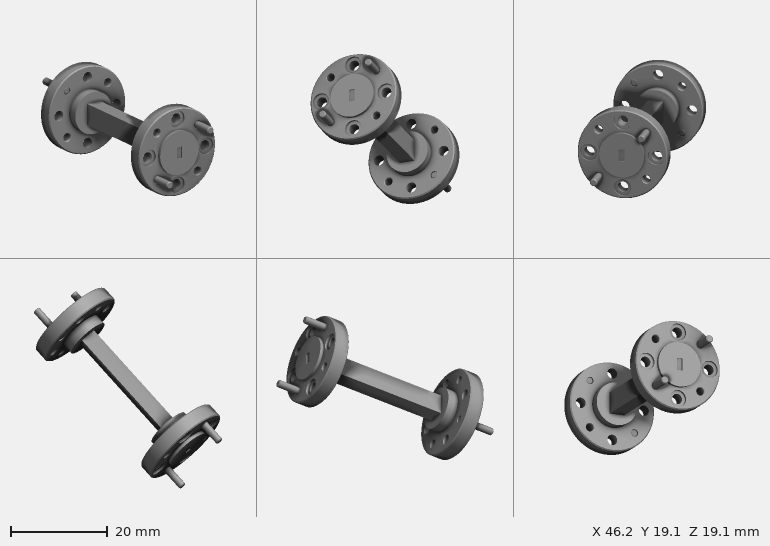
import cadquery as cq
import math

overall_length = 46.25
face_to_face = 38.05

flange_diameter = 19.05
flange_thickness = 3.3
flange_chamfer = 0.25
boss_diameter = 9.52
boss_height = 0.75
hub_diameter = 9.1
hub_length = 2.3

tube_width = 3.3
tube_height = 4.58
port_width = 1.25
port_height = 2.55
port_depth = 0.3

hole_circle_diameter = 14.3
screw_hole_diameter = 2.2
counterbore_diameter = 3.6
counterbore_depth = 0.5
dowel_hole_diameter = 1.65
dowel_hole_chamfer = 0.15

pin_diameter = 1.55
pin_chamfer = 0.2
pin_recess = 0.2

mating_face_x = face_to_face / 2
flange_front_x = mating_face_x - boss_height
flange_back_x = flange_front_x - flange_thickness
hub_back_x = flange_back_x - hub_length
pin_tip_x = overall_length / 2
pin_inner_x = flange_back_x + pin_recess

hole_circle_radius = hole_circle_diameter / 2
screw_angles = [0, 90, 180, 270]
end_signs = [-1, 1]


def polar(angle):
    """Point (y, z) on the hole circle, with the angle measured from +Y towards +Z."""
    turn = math.radians(angle)
    return (hole_circle_radius * math.cos(turn), hole_circle_radius * math.sin(turn))


def pin_angles(end):
    """The pins sit on opposite diagonals at the two ends."""
    return [135, 315] if end < 0 else [45, 225]


def free_hole_angles(end):
    """The open dowel holes take the pins of the flange that is bolted on."""
    return pin_angles(-end)


def rod(diameter, x_start, x_end, centre=(0, 0)):
    """Round bar parallel to X between two stations, with its axis at centre = (y, z)."""
    return (
        cq.Workplane("YZ", origin=(x_start, 0, 0))
        .center(*centre)
        .circle(diameter / 2)
        .extrude(x_end - x_start)
    )


def facing(solid, end):
    """Bodies are modelled at the +X end; the -X end is their mirror image."""
    return solid if end > 0 else solid.mirror("YZ")


def cone(small_diameter, small_x, large_x, centre):
    """45 degree cone frustum parallel to X that widens from small_x to large_x."""
    growth = abs(large_x - small_x)
    return (
        cq.Workplane("YZ", origin=(small_x, 0, 0))
        .center(*centre)
        .circle(small_diameter / 2)
        .workplane(offset=large_x - small_x)
        .circle(small_diameter / 2 + growth)
        .loft(ruled=True)
    )


def front_countersink(diameter, angle):
    """Cutter for the countersink where a dowel-sized hole opens at the flange front."""
    return cone(diameter, flange_front_x - dowel_hole_chamfer, flange_front_x, polar(angle))


def back_countersink(diameter, angle):
    """Cutter for the countersink where a dowel-sized hole opens at the flange back."""
    return cone(diameter, flange_back_x + dowel_hole_chamfer, flange_back_x, polar(angle))


def make_end_fitting(end):
    """Flange disc with its raised mating face, rear hub, screw holes, dowel holes and port."""
    disc = rod(flange_diameter, flange_back_x, flange_front_x).edges().chamfer(flange_chamfer)
    boss = rod(boss_diameter, flange_front_x, mating_face_x)
    hub = rod(hub_diameter, hub_back_x, flange_back_x)
    fitting = disc.union(boss).union(hub)

    for angle in screw_angles:
        centre = polar(angle)
        fitting = fitting.cut(rod(screw_hole_diameter, flange_back_x, flange_front_x, centre))
        counterbore_floor_x = flange_front_x - counterbore_depth
        fitting = fitting.cut(rod(counterbore_diameter, counterbore_floor_x, flange_front_x, centre))

    for angle in free_hole_angles(end):
        fitting = fitting.cut(rod(dowel_hole_diameter, flange_back_x, flange_front_x, polar(angle)))
        fitting = fitting.cut(front_countersink(dowel_hole_diameter, angle))
        fitting = fitting.cut(back_countersink(dowel_hole_diameter, angle))

    for angle in pin_angles(end):
        fitting = fitting.cut(rod(pin_diameter, flange_back_x, flange_front_x, polar(angle)))
        fitting = fitting.cut(front_countersink(pin_diameter, angle))

    port = (
        cq.Workplane("YZ", origin=(mating_face_x - port_depth, 0, 0))
        .rect(port_width, port_height)
        .extrude(port_depth)
    )
    return facing(fitting.cut(port), end)


def make_waveguide():
    """Rectangular tube with a flange fitting at each end, all one solid."""
    tube = cq.Workplane("XY").box(2 * hub_back_x, tube_width, tube_height)
    for end in end_signs:
        tube = tube.union(make_end_fitting(end))
    return tube


def make_dowel_pin(end, angle):
    """Pin chamfered at both tips, standing in its flange hole."""
    pin = rod(pin_diameter, pin_inner_x, pin_tip_x, polar(angle)).edges().chamfer(pin_chamfer)
    return facing(pin, end)


waveguide = make_waveguide()
dowel_pins = [make_dowel_pin(end, angle).val() for end in end_signs for angle in pin_angles(end)]

result = cq.Compound.makeCompound([waveguide.val(), *dowel_pins])